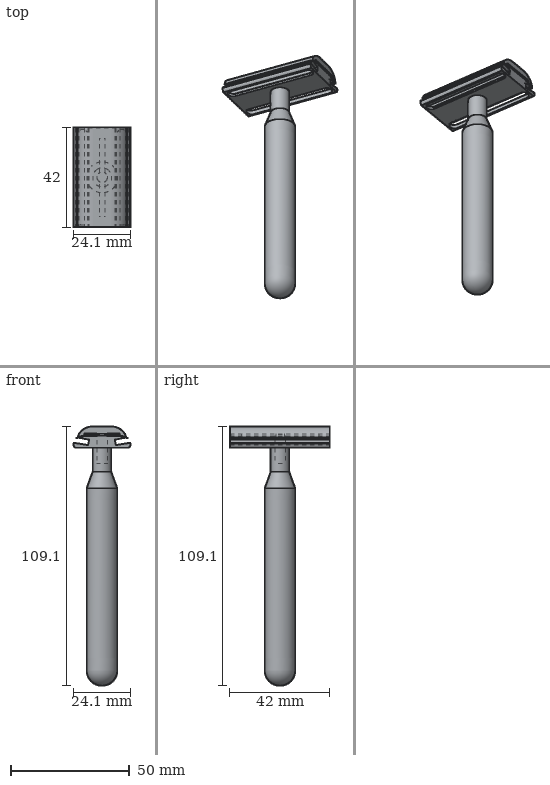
import cadquery as cq
import math


TOTAL_HEIGHT = 109.1
HEAD_LENGTH = 42.0

CAP_FLAT_WIDTH = 7.6
CAP_ROUND_RADIUS = 7.0
CAP_ROUND_DROP = 3.4
CAP_EDGE_HALF_WIDTH = 10.3
POCKET_DEPTH = 3.1
POCKET_WIDTH = 14.8
RIB_WIDTH = 2.3
RIB_LENGTH = 32.7
STUD_DIAMETER = 4.4
STUD_REACH = 6.5

BLADE_RADIUS = 32.7
BLADE_THICKNESS = 0.13
BLADE_WIDTH = 21.6
BLADE_LENGTH = 41.5

BASE_BOTTOM_DEPTH = 9.1
BASE_FLOOR_DEPTH = 4.0
WING_HALF_WIDTH = 9.7
WING_TIP_THICKNESS = 0.2
WAIST_TOP_HALF_WIDTH = 5.5
WAIST_BOTTOM_HALF_WIDTH = 5.9
CHANNEL_TOP_DEPTH = 5.7
CHANNEL_BOTTOM_DEPTH = 7.9
GUARD_WIDTH = 24.1
GUARD_PEAK_HALF_WIDTH = 11.8
GUARD_PEAK_DEPTH = 6.9
GUARD_SIDE_DEPTH = 7.4
GUARD_FLAT_HALF_WIDTH = 11.2
GUARD_EDGE_RADIUS = 2.1
SLOT_WIDTH = 4.4
SLOT_OUTER_HALF_WIDTH = 10.5
SLOT_LENGTH = 40.3

HANDLE_DIAMETER = 13.0
NECK_DIAMETER = 8.0
NECK_LENGTH = 10.1
TAPER_LENGTH = 6.9
RING_LENGTH = 4.9
BAND_WIDTH = 0.3

CAP_FLAT_HALF = CAP_FLAT_WIDTH / 2
POCKET_HALF = POCKET_WIDTH / 2
POCKET_CEILING = TOTAL_HEIGHT - POCKET_DEPTH
BASE_BOTTOM = TOTAL_HEIGHT - BASE_BOTTOM_DEPTH
BASE_FLOOR = TOTAL_HEIGHT - BASE_FLOOR_DEPTH
BLADE_CENTRE = POCKET_CEILING - BLADE_RADIUS
BLADE_LOWER_RADIUS = BLADE_RADIUS - BLADE_THICKNESS


def height_on_arc(radius, x):
    """Height at x on an arc about the blade's bending axis."""
    return BLADE_CENTRE + math.sqrt(radius**2 - x**2)


def point_on_arc(radius, x):
    return (x, height_on_arc(radius, x))


def extrude_centred(profile, length):
    """Extrude an XZ profile along Y, half to each side."""
    return profile.close().extrude(length / 2, both=True)


def stud_cylinder():
    bottom = BASE_BOTTOM - STUD_REACH
    return (
        cq.Workplane("XY", origin=(0, 0, bottom))
        .circle(STUD_DIAMETER / 2)
        .extrude(POCKET_CEILING - bottom)
    )


def rib_block():
    return (
        cq.Workplane("XY", origin=(0, 0, BASE_FLOOR))
        .rect(RIB_WIDTH, RIB_LENGTH)
        .extrude(POCKET_CEILING - BASE_FLOOR)
    )


def shoulder_point(drop):
    """Point on the right rounded shoulder of the cap at a drop below the top."""
    reach = math.sqrt(CAP_ROUND_RADIUS**2 - (CAP_ROUND_RADIUS - drop) ** 2)
    return (CAP_FLAT_HALF + reach, TOTAL_HEIGHT - drop)


def mirrored(point):
    return (-point[0], point[1])


def make_cap():
    shoulder_middle = shoulder_point(CAP_ROUND_DROP / 3)
    shoulder_end = shoulder_point(CAP_ROUND_DROP)
    edge = point_on_arc(BLADE_RADIUS, CAP_EDGE_HALF_WIDTH)
    lip_middle = point_on_arc(BLADE_RADIUS, (CAP_EDGE_HALF_WIDTH + POCKET_HALF) / 2)
    lip_inner = point_on_arc(BLADE_RADIUS, POCKET_HALF)
    profile = (
        cq.Workplane("XZ")
        .moveTo(-CAP_FLAT_HALF, TOTAL_HEIGHT)
        .lineTo(CAP_FLAT_HALF, TOTAL_HEIGHT)
        .threePointArc(shoulder_middle, shoulder_end)
        .lineTo(*edge)
        .threePointArc(lip_middle, lip_inner)
        .lineTo(POCKET_HALF, POCKET_CEILING)
        .lineTo(-POCKET_HALF, POCKET_CEILING)
        .lineTo(*mirrored(lip_inner))
        .threePointArc(mirrored(lip_middle), mirrored(edge))
        .lineTo(*mirrored(shoulder_end))
        .threePointArc(mirrored(shoulder_middle), (-CAP_FLAT_HALF, TOTAL_HEIGHT))
    )
    return extrude_centred(profile, HEAD_LENGTH).union(rib_block()).union(stud_cylinder())


def make_blade():
    half = BLADE_WIDTH / 2
    upper_end = point_on_arc(BLADE_RADIUS, half)
    lower_end = point_on_arc(BLADE_LOWER_RADIUS, half)
    profile = (
        cq.Workplane("XZ")
        .moveTo(*mirrored(upper_end))
        .threePointArc(point_on_arc(BLADE_RADIUS, 0), upper_end)
        .lineTo(*lower_end)
        .threePointArc(point_on_arc(BLADE_LOWER_RADIUS, 0), mirrored(lower_end))
    )
    return extrude_centred(profile, BLADE_LENGTH).cut(rib_block()).cut(stud_cylinder())


def drain_slots():
    centre = SLOT_OUTER_HALF_WIDTH - SLOT_WIDTH / 2
    return (
        cq.Workplane("XY", origin=(0, 0, BASE_BOTTOM))
        .pushPoints([(-centre, 0), (centre, 0)])
        .slot2D(SLOT_LENGTH, SLOT_WIDTH, 90)
        .extrude(BASE_BOTTOM_DEPTH - GUARD_PEAK_DEPTH)
    )


def make_base_plate():
    floor_half = math.sqrt(BLADE_LOWER_RADIUS**2 - (BASE_FLOOR - BLADE_CENTRE) ** 2)
    floor_end = (floor_half, BASE_FLOOR)
    seat_middle = point_on_arc(BLADE_LOWER_RADIUS, (floor_half + WING_HALF_WIDTH) / 2)
    wing_tip = point_on_arc(BLADE_LOWER_RADIUS, WING_HALF_WIDTH)
    side = [
        (wing_tip[0], wing_tip[1] - WING_TIP_THICKNESS),
        (WAIST_TOP_HALF_WIDTH, TOTAL_HEIGHT - CHANNEL_TOP_DEPTH),
        (WAIST_BOTTOM_HALF_WIDTH, TOTAL_HEIGHT - CHANNEL_BOTTOM_DEPTH),
        (GUARD_PEAK_HALF_WIDTH, TOTAL_HEIGHT - GUARD_PEAK_DEPTH),
        (GUARD_WIDTH / 2, TOTAL_HEIGHT - GUARD_SIDE_DEPTH),
    ]
    guard_corner = (GUARD_FLAT_HALF_WIDTH, BASE_BOTTOM)
    profile = (
        cq.Workplane("XZ")
        .moveTo(*mirrored(floor_end))
        .lineTo(*floor_end)
        .threePointArc(seat_middle, wing_tip)
    )
    for point in side:
        profile = profile.lineTo(*point)
    profile = (
        profile.radiusArc(guard_corner, GUARD_EDGE_RADIUS)
        .lineTo(*mirrored(guard_corner))
        .radiusArc(mirrored(side[-1]), GUARD_EDGE_RADIUS)
    )
    for point in reversed(side[:-1]):
        profile = profile.lineTo(*mirrored(point))
    profile = (
        profile.lineTo(*mirrored(wing_tip))
        .threePointArc(mirrored(seat_middle), mirrored(floor_end))
    )
    return extrude_centred(profile, HEAD_LENGTH).cut(drain_slots()).cut(stud_cylinder())


def make_handle():
    radius = HANDLE_DIAMETER / 2
    neck_radius = NECK_DIAMETER / 2
    taper_top = BASE_BOTTOM - NECK_LENGTH
    taper_bottom = taper_top - TAPER_LENGTH
    grip_top = taper_bottom - RING_LENGTH
    band_bottom = radius + RING_LENGTH
    band_top = band_bottom + BAND_WIDTH
    dome_middle = radius * math.sin(math.radians(45))
    profile = (
        cq.Workplane("XZ")
        .moveTo(0, 0)
        .threePointArc((dome_middle, radius - dome_middle), (radius, radius))
        .lineTo(radius, band_bottom)
        .lineTo(radius, band_top)
        .lineTo(radius, grip_top)
        .lineTo(radius, taper_bottom)
        .lineTo(neck_radius, taper_top)
        .lineTo(neck_radius, BASE_BOTTOM)
        .lineTo(0, BASE_BOTTOM)
        .close()
    )
    return profile.revolve(360, (0, 0, 0), (0, 1, 0), clean=False).cut(stud_cylinder(), clean=False)


cap = make_cap()
blade = make_blade()
base_plate = make_base_plate()
handle = make_handle()

result = cq.Compound.makeCompound([cap.val(), blade.val(), base_plate.val(), handle.val()])